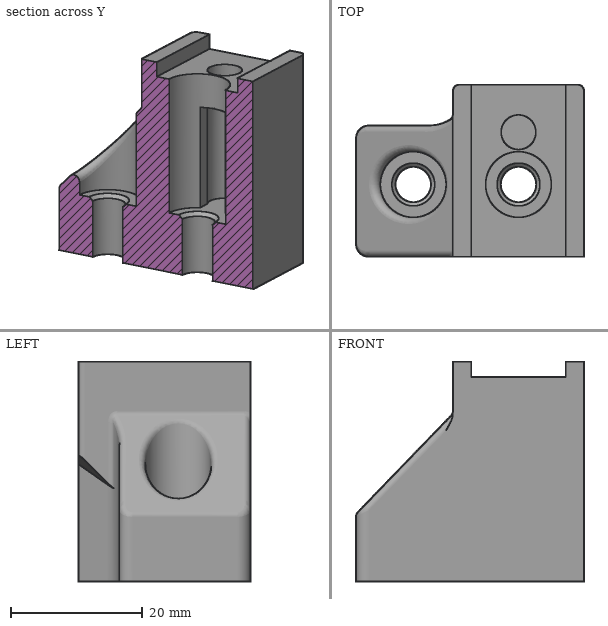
import cadquery as cq
import math

length = 34.75
depth = 26.25
height = 33.5
block_width = 19.98
block_left = length - block_width
lug_depth = 20.0

lug_edge_height = 10.3
slope_angle = math.radians(46)
lug_corner_radius = 2.0
edge_radius = 1.0

channel_depth = 2.33
channel_wall = 2.8
channel_floor = height - channel_depth

block_hole_x = block_left + block_width / 2
hole_spacing = 16.02
lug_hole_x = block_hole_x - hole_spacing
hole_y = 11.0
screw_diameter = 5.35
head_diameter = 10.0
head_seat_height = 9.63
seat_chamfer = 0.6

side_hole_diameter = 5.28
side_hole_y = 18.97
slot_width = 4.52
slot_top = channel_floor - 5.4

flare_radius = 6.0
flare_start_x = 11.22
flare_angle = math.radians(45)

roof_slope_x = -0.3
roof_slope_y = 1.0
roof_point = (block_left, 21.8, 15.0)

margin = 3.48


def flare_point(angle):
    """Point on the flare arc after turning by the given angle from the lug's +Y side."""
    x = flare_start_x + flare_radius * math.sin(angle)
    y = lug_depth + flare_radius * (1 - math.cos(angle))
    return x, y


flare_start = flare_point(0)
flare_middle = flare_point(flare_angle / 2)
flare_end = flare_point(flare_angle)
wall_end_x = flare_end[0] + (depth - flare_end[1]) / math.tan(flare_angle)


def box(x_range, y_range, z_range):
    size = [high - low for low, high in (x_range, y_range, z_range)]
    corner = (x_range[0], y_range[0], z_range[0])
    return cq.Workplane("XY").box(*size, centered=False).translate(corner)


def cylinder(x, y, diameter, bottom, top):
    return cq.Workplane("XY", origin=(x, y, bottom)).circle(diameter / 2).extrude(top - bottom)


def make_block():
    """Block with rounded +Y corners; it overhangs at -Y until the inner corner is rounded."""
    block = box((block_left, length), (-margin, depth), (0, height))
    return block.edges("|Z and >Y").fillet(edge_radius)


def make_lug():
    """Flared lug with rounded front corners and a sloped top with rounded borders."""
    plan = (
        cq.Workplane("XY")
        .lineTo(wall_end_x, 0)
        .lineTo(wall_end_x, flare_end[1])
        .lineTo(*flare_end)
        .threePointArc(flare_middle, flare_start)
        .lineTo(0, lug_depth)
        .close()
        .extrude(height)
        .edges("|Z and <X")
        .fillet(lug_corner_radius)
    )
    slope_rise = wall_end_x * math.tan(slope_angle)
    profile = (
        cq.Workplane("XZ")
        .lineTo(wall_end_x, 0)
        .lineTo(wall_end_x, lug_edge_height + slope_rise)
        .lineTo(0, lug_edge_height)
        .close()
        .extrude(-depth)
    )
    lug = plan.intersect(profile)
    border = [edge for edge in slope_face(lug).Edges() if edge.Center().x < block_left]
    return lug.newObject(border).fillet(edge_radius)


def slope_face(body):
    normal = cq.Vector(-math.sin(slope_angle), 0, math.cos(slope_angle))
    return body.faces(cq.selectors.ParallelDirSelector(normal)).val()


def round_inner_corner(body):
    """Round where the lug meets the block's -X face, then trim the block's -Y overhang."""
    tolerance = 0.0005

    def is_inner_corner(edge):
        center = edge.Center()
        on_block_face = abs(center.x - block_left) < tolerance and edge.BoundingBox().xlen < tolerance
        beside_lug = -tolerance < center.y < flare_end[1]
        between_ends = tolerance < center.z < height - tolerance
        return on_block_face and beside_lug and between_ends

    corner = [edge for edge in body.edges().vals() if is_inner_corner(edge)]
    overhang = box((-margin, length + margin), (-2 * margin, 0), (-margin, height + margin))
    return body.newObject(corner).fillet(edge_radius).cut(overhang)


def make_undercut():
    """Space outside the flare, below a roof that climbs toward +Y and drops toward +X."""
    space = (
        cq.Workplane("XY")
        .moveTo(*flare_start)
        .threePointArc(flare_middle, flare_end)
        .lineTo(wall_end_x, depth)
        .lineTo(wall_end_x, depth + margin)
        .lineTo(flare_start_x, depth + margin)
        .close()
        .extrude(height)
    )
    roof = cq.Plane(
        origin=roof_point,
        xDir=(1, 0, roof_slope_x),
        normal=(-roof_slope_x, -roof_slope_y, 1),
    )
    above_roof = cq.Workplane(roof).rect(2 * length, 2 * length).extrude(2 * height)
    return space.cut(above_roof)


def make_screw_hole(x):
    """Through bore with a head recess from above and a chamfer at the head seat."""
    bore = cylinder(x, hole_y, screw_diameter, 0, height)
    head = cylinder(x, hole_y, head_diameter, head_seat_height, height)
    chamfer = (
        cq.Workplane("XY", origin=(x, hole_y, head_seat_height))
        .circle(screw_diameter / 2 + seat_chamfer)
        .workplane(offset=-seat_chamfer)
        .circle(screw_diameter / 2)
        .loft()
    )
    return bore.union(head).union(chamfer)


def make_side_hole():
    """Blind side hole with the slot that links it to the block's screw hole."""
    hole = cylinder(block_hole_x, side_hole_y, side_hole_diameter, head_seat_height, height)
    slot_sides = (block_hole_x - slot_width / 2, block_hole_x + slot_width / 2)
    slot = box(slot_sides, (hole_y, side_hole_y), (head_seat_height, slot_top))
    return hole.union(slot)


result = round_inner_corner(make_block().union(make_lug()))
result = result.cut(make_undercut())
undercut_corner = cq.selectors.NearestToPointSelector((wall_end_x, depth, roof_point[2] / 2))
result = result.edges("|Z").edges(undercut_corner).fillet(edge_radius)

result = result.cut(make_screw_hole(lug_hole_x))
mouth = slope_face(result).innerWires()[0]
result = result.newObject(mouth.Edges()).fillet(edge_radius)

channel_sides = (block_left + channel_wall, length - channel_wall)
result = result.cut(box(channel_sides, (0, depth), (channel_floor, height)))
result = result.cut(make_screw_hole(block_hole_x))
result = result.cut(make_side_hole())